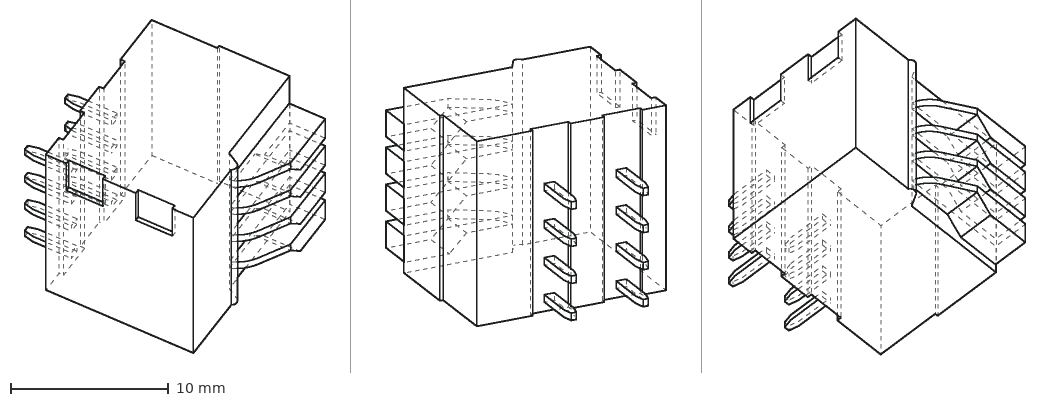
import cadquery as cq
import math

pole_count = 4
row_count = 2
pole_pitch = 2.55
height = 12.7
depth = 13.6
row_pitch = 2 * pole_pitch

base_x = 3.18
lever_face_x = 13.16
nose_face_x = 14.0
back_step_x = 8.0
back_step = 0.22
notch_y = 5.94
nose_ramp_run = 0.85
nose_ramp_angle = 30
nose_bottom_y = 4.79

groove_width = 2.69
groove_depth = 0.32
first_row_y = 3.02
pocket_width = 2.67
pocket_depth = 0.32
pocket_height = pole_pitch
first_pocket_x = 6.02

first_pin_z = 0.9
pin_width = 0.71
pin_thickness = 0.5
pin_tip_width = 0.38
pin_taper_length = 0.71

lever_tip_x = 15.8
lever_setback = 0.05
lever_back_y = depth - lever_setback
lever_slant_top_y = 9.18
lever_slant_run = 1.2
lever_slant_angle = 60
first_lever_z = 0.73
lever_height = 1.82
lever_neck_height = 0.6

row_positions = [first_row_y + i * row_pitch for i in range(row_count)]


def make_housing():
    nose_ramp_end = (
        lever_face_x + nose_ramp_run,
        notch_y - nose_ramp_run * math.tan(math.radians(nose_ramp_angle)),
    )
    return (
        cq.Workplane("XY")
        .moveTo(base_x, 0)
        .lineTo(base_x, depth - back_step)
        .lineTo(back_step_x, depth - back_step)
        .lineTo(back_step_x, depth)
        .lineTo(lever_face_x, depth)
        .lineTo(lever_face_x, notch_y)
        .lineTo(*nose_ramp_end)
        .tangentArcPoint((nose_face_x, nose_bottom_y), relative=False)
        .lineTo(nose_face_x, 0)
        .close()
        .extrude(height)
    )


def make_groove(row_y):
    """Full-height groove in the pin face, centred on one pin row."""
    return (
        cq.Workplane("XY")
        .box(groove_depth, groove_width, height, centered=(False, True, False))
        .translate((base_x, row_y, 0))
    )


def make_pocket(center_x):
    """Shallow pocket in the -Y face, open at the top."""
    return (
        cq.Workplane("XY")
        .box(pocket_width, pocket_depth, pocket_height, centered=(True, False, False))
        .translate((center_x, 0, height - pocket_height))
    )


def make_pin(row_y, center_z):
    """Flat pin with its tip at X = 0, tapered in width only."""
    root_x = base_x + groove_depth
    half_width = pin_width / 2
    half_tip = pin_tip_width / 2
    return (
        cq.Workplane("XY")
        .polyline([
            (0, -half_tip),
            (pin_taper_length, -half_width),
            (root_x, -half_width),
            (root_x, half_width),
            (pin_taper_length, half_width),
            (0, half_tip),
        ])
        .close()
        .extrude(pin_thickness)
        .translate((0, row_y, center_z - pin_thickness / 2))
    )


def make_lever(bottom_z):
    """Lever with a wide head that narrows at 45 degrees to its neck."""
    slant_drop = lever_slant_run * math.tan(math.radians(lever_slant_angle))
    slant_end = (lever_tip_x - lever_slant_run, lever_slant_top_y - slant_drop)
    top_z = bottom_z + lever_height
    neck_z = top_z - lever_neck_height
    flare = lever_height - lever_neck_height
    side_profile = (
        cq.Workplane("XY", origin=(0, 0, bottom_z))
        .moveTo(lever_face_x, lever_back_y)
        .lineTo(lever_tip_x, lever_back_y)
        .lineTo(lever_tip_x, lever_slant_top_y)
        .lineTo(*slant_end)
        .tangentArcPoint((lever_face_x, notch_y), relative=False)
        .close()
        .extrude(lever_height)
    )
    end_profile = (
        cq.Workplane("YZ", origin=(lever_face_x, 0, 0))
        .polyline([
            (lever_back_y, bottom_z),
            (lever_back_y, top_z),
            (notch_y, top_z),
            (notch_y, neck_z),
            (lever_slant_top_y, neck_z),
            (lever_slant_top_y + flare, bottom_z),
        ])
        .close()
        .extrude(lever_tip_x - lever_face_x)
    )
    return side_profile.intersect(end_profile)


result = make_housing()

for row_y in row_positions:
    result = result.cut(make_groove(row_y))

for i in range(row_count):
    result = result.cut(make_pocket(first_pocket_x + i * row_pitch))

for pole in range(pole_count):
    pole_z = pole * pole_pitch
    result = result.union(make_lever(first_lever_z + pole_z))
    for row_y in row_positions:
        result = result.union(make_pin(row_y, first_pin_z + pole_z))